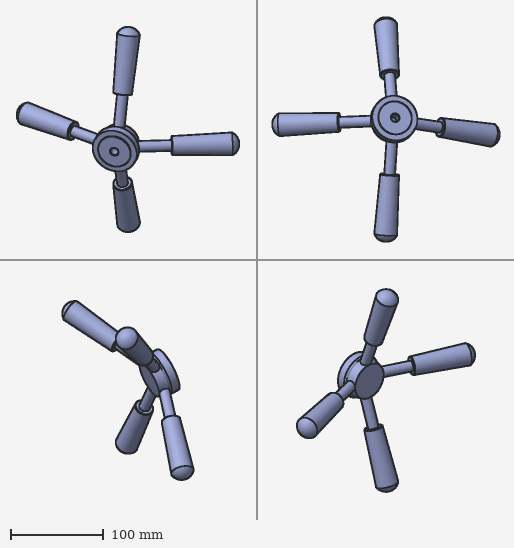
import cadquery as cq
import math

PAD_DIAMETER = 36.7
PAD_HEIGHT = 1.5
RIM_DIAMETER = 49.7
RIM_TOP = 11.2
CONE_BASE_DIAMETER = 47.0
CONE_BASE_HEIGHT = 13.5
CONE_TOP_DIAMETER = 41.5
HUB_HEIGHT = 25.0

HOLE_DIAMETER = 8.5
HOLE_MOUTH_DIAMETER = 9.7
HOLE_DEPTH = 15.0
DRILL_TIP_ANGLE = 118.0

ARM_COUNT = 4
ARM_TILT = 20.0
ARM_ORIGIN_HEIGHT = 11.0
ROD_DIAMETER = 12.0
ROD_START = 15.0
GRIP_START = 58.7
GRIP_END = 124.0
GRIP_INNER_DIAMETER = 20.7
GRIP_OUTER_DIAMETER = 25.0
GRIP_CHAMFER = 0.7
DOME_HEIGHT = 8.0


def make_hub():
    profile = [
        (0, 0),
        (PAD_DIAMETER / 2, 0),
        (PAD_DIAMETER / 2, PAD_HEIGHT),
        (RIM_DIAMETER / 2, PAD_HEIGHT),
        (RIM_DIAMETER / 2, RIM_TOP),
        (CONE_BASE_DIAMETER / 2, CONE_BASE_HEIGHT),
        (CONE_TOP_DIAMETER / 2, HUB_HEIGHT),
        (0, HUB_HEIGHT),
    ]
    return cq.Workplane("XY").polyline(profile).close().revolve(360, (0, 0), (0, 1))


def make_hole():
    radius = HOLE_DIAMETER / 2
    mouth_radius = HOLE_MOUTH_DIAMETER / 2
    tip_height = radius / math.tan(math.radians(DRILL_TIP_ANGLE / 2))
    profile = [
        (0, 0),
        (mouth_radius, 0),
        (radius, mouth_radius - radius),
        (radius, HOLE_DEPTH),
        (0, HOLE_DEPTH + tip_height),
    ]
    return cq.Workplane("XY").polyline(profile).close().revolve(360, (0, 0), (0, 1))


def make_arm():
    """Rod and domed, tapered grip, turned about X and then tilted towards +Y."""
    rod_radius = ROD_DIAMETER / 2
    inner_radius = GRIP_INNER_DIAMETER / 2
    outer_radius = GRIP_OUTER_DIAMETER / 2
    dome_radius = (outer_radius**2 + DOME_HEIGHT**2) / (2 * DOME_HEIGHT)
    tip = GRIP_END + DOME_HEIGHT
    half_angle = math.asin(outer_radius / dome_radius) / 2
    dome_middle = (
        tip - dome_radius * (1 - math.cos(half_angle)),
        dome_radius * math.sin(half_angle),
    )
    arm = (
        cq.Workplane("XY")
        .moveTo(ROD_START, 0)
        .lineTo(ROD_START, rod_radius)
        .lineTo(GRIP_START, rod_radius)
        .lineTo(GRIP_START, inner_radius - GRIP_CHAMFER)
        .lineTo(GRIP_START + GRIP_CHAMFER, inner_radius)
        .lineTo(GRIP_END, outer_radius)
        .threePointArc(dome_middle, (tip, 0))
        .close()
        .revolve(360, (0, 0), (1, 0))
    )
    tilted = arm.rotate((0, 0, 0), (0, 0, 1), ARM_TILT)
    return tilted.translate((0, ARM_ORIGIN_HEIGHT, 0))


result = make_hub()
arm = make_arm()
for index in range(ARM_COUNT):
    result = result.union(arm.rotate((0, 0, 0), (0, 1, 0), index * 360 / ARM_COUNT))
result = result.cut(make_hole())